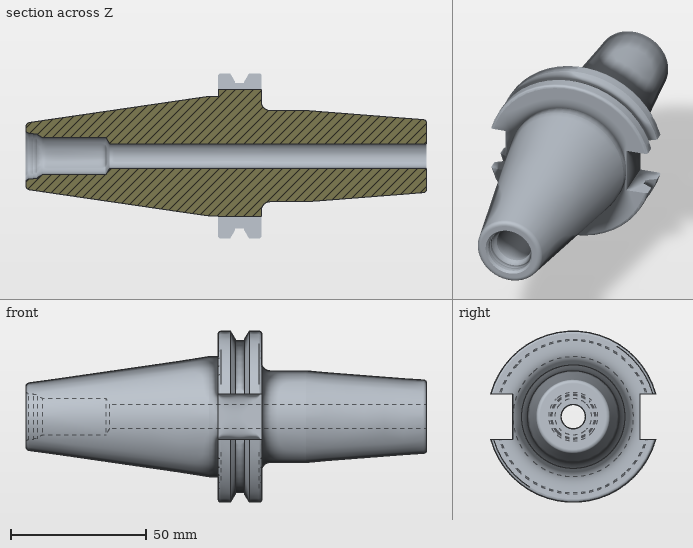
import cadquery as cq
import math

overall_length = 148.2
taper_end = 67.9
flange_start = 71.2
flange_width = 16.2
flange_end = flange_start + flange_width
neck_end = 103.6

taper_large_radius = 22.2
taper_slope = 7 / 24 / 2
taper_small_radius = taper_large_radius - taper_end * taper_slope
flange_radius = 63.3 / 2
neck_radius = 34.0 / 2
nose_end_radius = 13.5

taper_round = 1.6
flange_round = 1.0
nose_round = 1.3

neck_arc_radius = 3.1
neck_arc_length = 3.0

groove_center = 79.2
groove_root_radius = 28.2
groove_root_width = 3.3
groove_wall_radius = 28.6
groove_mouth_width = 7.0
cutter_clearance = 1.5

slot_width = 16.8
slot_floor_plus_y = 24.8
slot_floor_minus_y = 22.4

mouth_radius = 18.1 / 2
mouth_chamfer = 1.0
counterbore_radius = 16.8 / 2
counterbore_depth = 2.8
pilot_radius = 16.3 / 2
pilot_depth = 4.3
cone_large_radius = 7.9
cone_half_angle = math.radians(30)
thread_radius = 13.5 / 2
through_radius = 8.9 / 2
cone_end = pilot_depth + (cone_large_radius - thread_radius) / math.tan(cone_half_angle)
thread_end = 29.6
drill_half_angle = math.radians(60)
drill_tip_end = thread_end + (thread_radius - through_radius) / math.tan(drill_half_angle)


def revolve_about_x(points):
    """Revolve a closed (x, radius) outline about the X axis."""
    return cq.Workplane("XY").polyline(points).close().revolve(360, (0, 0, 0), (1, 0, 0))


def circular_edges(solid, x, radius):
    """Select the full circular edges at one station and radius."""
    tolerance = 0.1
    reach = radius + tolerance
    box = cq.selectors.BoxSelector(
        (x - tolerance, -reach, -reach),
        (x + tolerance, reach, reach),
        boundingbox=True,
    )
    inner = radius - tolerance
    return solid.edges(box).filter(lambda edge: edge.BoundingBox().ymax > inner)


def make_body():
    """Taper, flange, neck and tapered nose as one turned body."""
    arc_end = flange_end + neck_arc_length
    arc_center_radius = neck_radius + neck_arc_radius
    arc_angle = math.asin(neck_arc_length / neck_arc_radius)
    arc_start_radius = arc_center_radius - neck_arc_radius * math.cos(arc_angle)
    arc_middle = (
        arc_end - neck_arc_radius * math.sin(arc_angle / 2),
        arc_center_radius - neck_arc_radius * math.cos(arc_angle / 2),
    )
    outline = (
        cq.Workplane("XY")
        .lineTo(0, taper_small_radius)
        .lineTo(taper_end, taper_large_radius)
        .lineTo(flange_start, taper_large_radius)
        .lineTo(flange_start, flange_radius)
        .lineTo(flange_end, flange_radius)
        .lineTo(flange_end, arc_start_radius)
        .threePointArc(arc_middle, (arc_end, neck_radius))
        .lineTo(neck_end, neck_radius)
        .lineTo(overall_length, nose_end_radius)
        .lineTo(overall_length, 0)
        .close()
    )
    body = outline.revolve(360, (0, 0, 0), (1, 0, 0))
    rounded_edges = [
        (0, taper_small_radius, taper_round),
        (flange_start, flange_radius, flange_round),
        (flange_end, flange_radius, flange_round),
        (overall_length, nose_end_radius, nose_round),
    ]
    for x, radius, rounding in rounded_edges:
        body = circular_edges(body, x, radius).fillet(rounding)
    return body


def make_groove():
    """Ring with sloping upper walls and a short straight-sided root."""
    half_root = groove_root_width / 2
    half_mouth = groove_mouth_width / 2
    outside = flange_radius + cutter_clearance
    return revolve_about_x([
        (groove_center - half_root, groove_root_radius),
        (groove_center - half_root, groove_wall_radius),
        (groove_center - half_mouth, flange_radius),
        (groove_center - half_mouth, outside),
        (groove_center + half_mouth, outside),
        (groove_center + half_mouth, flange_radius),
        (groove_center + half_root, groove_wall_radius),
        (groove_center + half_root, groove_root_radius),
    ])


def make_slot(floor, side):
    """Drive slot through the flange width on the +Y (side=1) or -Y (side=-1) side."""
    depth = flange_radius
    slot = cq.Workplane("XY").box(flange_width, depth, slot_width)
    return slot.translate((flange_start + flange_width / 2, side * (floor + depth / 2), 0))


def make_bore():
    """Chamfered, stepped bore that narrows to the through hole."""
    return revolve_about_x([
        (0, 0),
        (0, mouth_radius),
        (mouth_chamfer, counterbore_radius),
        (counterbore_depth, counterbore_radius),
        (counterbore_depth, pilot_radius),
        (pilot_depth, pilot_radius),
        (pilot_depth, cone_large_radius),
        (cone_end, thread_radius),
        (thread_end, thread_radius),
        (drill_tip_end, through_radius),
        (overall_length, through_radius),
        (overall_length, 0),
    ])


result = make_body().cut(make_groove()).cut(make_bore())
result = result.cut(make_slot(slot_floor_plus_y, 1))
result = result.cut(make_slot(slot_floor_minus_y, -1))